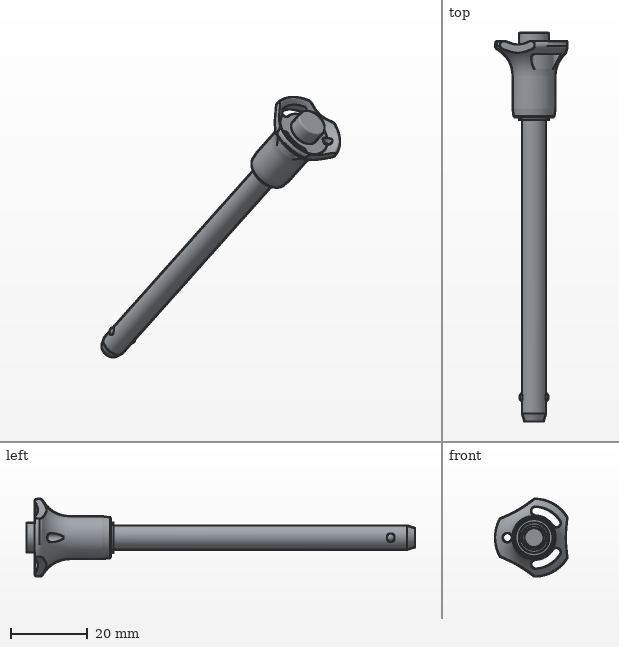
import cadquery as cq
import math

overall_length = 101.09

shaft_radius = 3.175
tip_radius = 2.5
tip_length = 2.1

ball_radius = 1.18
ball_reach = 3.75
ball_to_tip = 6.35
ball_offset = ball_reach - ball_radius

collar_radius = 3.95
collar_end = 0.6
body_radius = 5.6
nose_radius = 5.35
nose_end = 2.85
nose_edge_length = 0.35
nose_edge_width = 0.5
body_end = 11.3

rim_radius = 10.16
grip_back = 20.45
rim_thickness = 2.1
rim_widest_depth = 1.2
crest_radius = 9.3
crest_inner_radius = 8.7
crest_inner_drop = 0.45
flare_radius = 8.25
dish_depth = 2.0
dish_floor_radius = crest_inner_radius - (dish_depth - crest_inner_drop)

lobe_count = 3
scoop_corner_offset = 8.71
scoop_depth = 0.4

slot_inner_radius = 5.8
slot_outer_radius = 8.05
slot_half_angle = 26.7
slot_angles = (60, -60)
hole_radius = 1.18

button_radius = 3.92
button_fillet = 0.4
button_end = 22.65
tip_y = button_end - overall_length


def polar(radius, degrees):
    """Point on a circle around Y, with the angle measured from +X toward +Z."""
    angle = math.radians(degrees)
    return radius * math.cos(angle), radius * math.sin(angle)


def through_tool(outline):
    """Extrude an XZ outline from the shoulder plane to the end of the button."""
    return outline.extrude(-button_end)


def make_turned_body():
    """Revolve the whole pin profile about Y, from the tip to the push button."""
    flare_run = grip_back - rim_thickness - body_end
    flare_mid_run = flare_run / 2
    flare_mid_radius = body_radius + flare_radius - math.sqrt(flare_radius**2 - flare_mid_run**2)
    flare_end_radius = body_radius + flare_radius - math.sqrt(flare_radius**2 - flare_run**2)
    rim_y = grip_back - rim_widest_depth
    return (
        cq.Workplane("XY")
        .moveTo(0, tip_y)
        .lineTo(tip_radius, tip_y)
        .lineTo(shaft_radius, tip_y + tip_length)
        .lineTo(shaft_radius, 0)
        .lineTo(collar_radius, 0)
        .lineTo(collar_radius, collar_end)
        .lineTo(nose_radius - nose_edge_width, collar_end)
        .lineTo(nose_radius, collar_end + nose_edge_length)
        .lineTo(body_radius, nose_end)
        .lineTo(body_radius, body_end)
        .threePointArc(
            (flare_mid_radius, body_end + flare_mid_run),
            (flare_end_radius, body_end + flare_run),
        )
        .tangentArcPoint((rim_radius, rim_y), relative=False)
        .spline(
            [(crest_radius, grip_back), (crest_inner_radius, grip_back - crest_inner_drop)],
            tangents=[(0, 1), (-1, -1)],
            includeCurrent=True,
        )
        .lineTo(dish_floor_radius, grip_back - dish_depth)
        .lineTo(button_radius, grip_back - dish_depth)
        .lineTo(button_radius, button_end - button_fillet)
        .radiusArc((button_radius - button_fillet, button_end), -button_fillet)
        .lineTo(0, button_end)
        .close()
        .revolve(360, (0, 0), (0, 1))
    )


def make_scoop():
    """Cylinder whose side trims the rim on +X with a shallow concave face."""
    half_chord = math.sqrt(rim_radius**2 - scoop_corner_offset**2)
    radius = (half_chord**2 + scoop_depth**2) / (2 * scoop_depth)
    centre = scoop_corner_offset - scoop_depth + radius
    return through_tool(cq.Workplane("XZ").center(centre, 0).circle(radius))


def make_slot(middle_angle):
    """Curved round-ended finger slot centred on the given angle about Y."""
    start = middle_angle - slot_half_angle
    end = middle_angle + slot_half_angle
    outline = (
        cq.Workplane("XZ")
        .moveTo(*polar(slot_outer_radius, start))
        .threePointArc(polar(slot_outer_radius, middle_angle), polar(slot_outer_radius, end))
        .tangentArcPoint(polar(slot_inner_radius, end), relative=False)
        .threePointArc(polar(slot_inner_radius, middle_angle), polar(slot_inner_radius, start))
        .tangentArcPoint(polar(slot_outer_radius, start), relative=False)
        .close()
    )
    return through_tool(outline)


def make_lanyard_hole():
    """Round hole through the -X lobe, centred in the same band as the slots."""
    hole_offset = (slot_inner_radius + slot_outer_radius) / 2
    return through_tool(cq.Workplane("XZ").center(-hole_offset, 0).circle(hole_radius))


def make_ball(side):
    """Locking ball standing proud of the shaft on the -X or +X side."""
    centre = (side * ball_offset, tip_y + ball_to_tip, 0)
    return cq.Workplane("XY").sphere(ball_radius).translate(centre)


result = make_turned_body()

scoop = make_scoop()
for index in range(lobe_count):
    result = result.cut(scoop.rotate((0, 0, 0), (0, 1, 0), index * 360 / lobe_count))

for slot_angle in slot_angles:
    result = result.cut(make_slot(slot_angle))
result = result.cut(make_lanyard_hole())

for side in (-1, 1):
    result = result.union(make_ball(side))